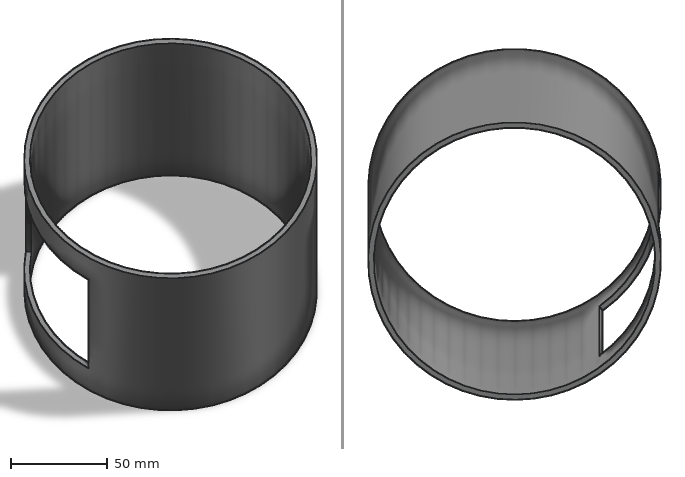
import cadquery as cq
import math

outer_diameter = 152.2
wall_thickness = 3.0
height = 119.5
outer_radius = outer_diameter / 2
inner_radius = outer_radius - wall_thickness

window_width = 81.0
window_height = 80.0
window_bottom = 19.5
window_half_angle = math.asin(window_width / 2 / outer_radius)


def make_tube():
    return cq.Workplane("XY").circle(outer_radius).circle(inner_radius).extrude(height)


def make_window_cutter():
    wedge_depth = outer_diameter
    wedge_half_width = wedge_depth * math.tan(window_half_angle)
    return (
        cq.Workplane("XY")
        .workplane(offset=window_bottom)
        .moveTo(0, 0)
        .lineTo(-wedge_half_width, -wedge_depth)
        .lineTo(wedge_half_width, -wedge_depth)
        .close()
        .extrude(window_height)
    )


result = make_tube().cut(make_window_cutter())